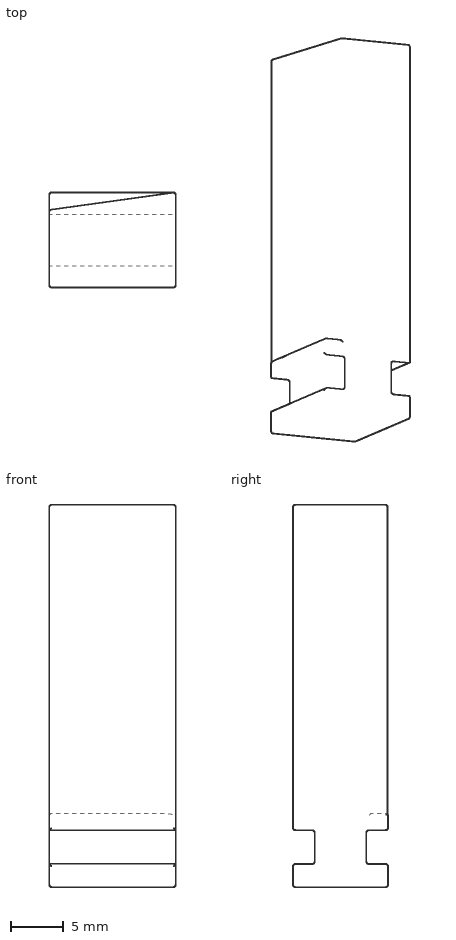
import cadquery as cq

WIDTH = 12.0
DEPTH = 9.0
HEIGHT = 36.2
EDGE_RADIUS = 0.25

TAPER_DEPTH = 1.65
LEDGE_HEIGHT = 7.02

GROOVE_DEPTH = 2.05
GROOVE_BOTTOM = 2.2
GROOVE_TOP = 5.4


def tapered_block():
    """Rounded base block joined to a rounded column whose back slopes away to the left."""
    back = DEPTH / 2
    right = WIDTH / 2
    base = cq.Workplane("XY").box(WIDTH, DEPTH, LEDGE_HEIGHT, centered=(True, True, False))
    column = (
        cq.Workplane("XY")
        .moveTo(-right, -back)
        .lineTo(right, -back)
        .lineTo(right, back)
        .lineTo(-right, back - TAPER_DEPTH)
        .close()
        .extrude(HEIGHT)
    )
    return base.edges().fillet(EDGE_RADIUS).union(column.edges().fillet(EDGE_RADIUS))


def groove_cutter():
    """Groove along X on the +Y face, with rounded inner corners and flared, rounded mouth."""
    face = DEPTH / 2
    mouth = face - EDGE_RADIUS
    profile = (
        cq.Workplane("YZ")
        .workplane(offset=-WIDTH / 2)
        .moveTo(face, GROOVE_BOTTOM - EDGE_RADIUS)
        .radiusArc((mouth, GROOVE_BOTTOM), -EDGE_RADIUS)
        .lineTo(face - GROOVE_DEPTH, GROOVE_BOTTOM)
        .lineTo(face - GROOVE_DEPTH, GROOVE_TOP)
        .lineTo(mouth, GROOVE_TOP)
        .radiusArc((face, GROOVE_TOP + EDGE_RADIUS), -EDGE_RADIUS)
        .close()
        .extrude(WIDTH)
    )
    return profile.faces("<Y").edges("|X").fillet(EDGE_RADIUS)


back_groove = groove_cutter()
front_groove = back_groove.mirror("XZ")
result = tapered_block().cut(back_groove).cut(front_groove)